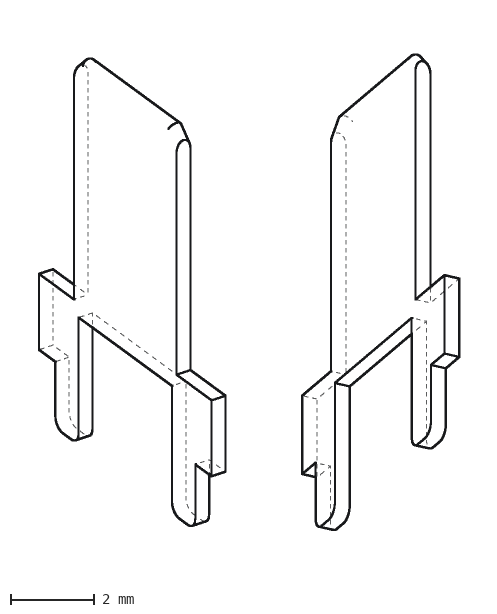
import cadquery as cq

thickness = 0.4
height = 10.6
shoulder_width = 7.4
shoulder_top = 3.9
shoulder_bottom = 1.81
blade_width = 4.4
blade_corner = 0.32
pin_outer_width = 6.0
slot_width = 4.0
slot_top = 3.5
pin_end_radius = 0.32

edge_radius = thickness / 2
overlap = 1.06


def box(width, bottom, top):
    """Block centred on X and Y, spanning bottom to top along Z."""
    return cq.Workplane("XY", origin=(0, 0, bottom)).box(
        width, thickness, top - bottom, centered=(True, True, False)
    )


def round_top_envelope():
    """Plate-thick envelope with a full-round edge along its top, at Z = 0."""
    half_length = shoulder_width + overlap
    depth = 2 * height
    return (
        cq.Workplane("YZ", origin=(-half_length, 0, 0))
        .moveTo(-edge_radius, -depth)
        .lineTo(-edge_radius, -edge_radius)
        .threePointArc((0, 0), (edge_radius, -edge_radius))
        .lineTo(edge_radius, -depth)
        .close()
        .extrude(2 * half_length)
    )


pins = box(pin_outer_width, 0, slot_top).cut(box(slot_width, 0, slot_top))
pins = pins.faces("<Z").edges("|Y").fillet(pin_end_radius)

shoulders = box(shoulder_width, shoulder_bottom, shoulder_top).cut(
    box(slot_width, shoulder_bottom, slot_top)
)

blade = box(blade_width, slot_top, height)
blade = blade.intersect(round_top_envelope().translate((0, 0, height)))
cut_middle_x = (blade_width - blade_corner) / 2
cut_middle_z = height - blade_corner / 2
for side in (-1, 1):
    corner_envelope = (
        round_top_envelope()
        .rotate((0, 0, 0), (0, 1, 0), side * 45)
        .translate((side * cut_middle_x, 0, cut_middle_z))
    )
    blade = blade.intersect(corner_envelope)

result = shoulders.union(pins).union(blade).clean()